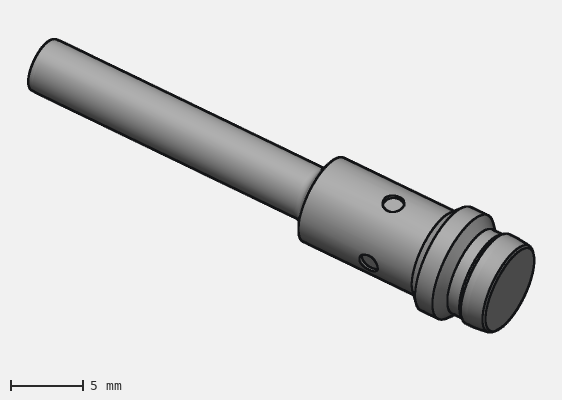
import cadquery as cq
import math

length = 38.4

shaft_dia = 4.0
barrel_dia = 6.5
flange_dia = 8.0
rear_land_dia = 6.9
hole_dia = 1.5
hole_floor_dia = 5.85

cap_dia = 3.95
tip_round = 0.2
cap_end = 0.4
cap_cone_end = 0.5

barrel_start = 23.08
shoulder_angle = math.radians(60)
blend_radius = 0.8

flange_start = 33.15
flange_end = 34.55

land_cone_start = 36.3
land_start = 36.55
land_end = 37.15
tail_dia = 6.65
end_chamfer = 0.15

hole_x = 28.85

shaft_radius = shaft_dia / 2
cap_radius = cap_dia / 2
barrel_radius = barrel_dia / 2
flange_radius = flange_dia / 2
land_radius = rear_land_dia / 2
tail_radius = tail_dia / 2
flange_cone = flange_radius - barrel_radius


def blend_point(angle):
    """Point on the shoulder blend arc, where the surface slopes at this angle."""
    x = blend_start + blend_radius * math.sin(angle)
    r = shaft_radius + blend_radius * (1 - math.cos(angle))
    return (x, r)


blend_height = blend_radius * (1 - math.cos(shoulder_angle))
cone_length = (barrel_radius - shaft_radius - blend_height) / math.tan(shoulder_angle)
blend_start = barrel_start - cone_length - blend_radius * math.sin(shoulder_angle)


def turned_body():
    """Half profile in the XY plane, revolved about the X axis."""
    tip_middle = tip_round * (1 - math.sqrt(0.5))
    profile = (
        cq.Workplane("XY")
        .moveTo(0, 0)
        .lineTo(0, cap_radius - tip_round)
        .threePointArc((tip_middle, cap_radius - tip_middle), (tip_round, cap_radius))
        .lineTo(cap_end, cap_radius)
        .lineTo(cap_cone_end, shaft_radius)
        .lineTo(blend_start, shaft_radius)
        .threePointArc(blend_point(shoulder_angle / 2), blend_point(shoulder_angle))
        .lineTo(barrel_start, barrel_radius)
        .lineTo(flange_start - flange_cone, barrel_radius)
        .lineTo(flange_start, flange_radius)
        .lineTo(flange_end, flange_radius)
        .lineTo(flange_end + flange_cone, barrel_radius)
        .lineTo(land_cone_start, barrel_radius)
        .lineTo(land_start, land_radius)
        .lineTo(land_end, land_radius)
        .tangentArcPoint((length - end_chamfer, tail_radius), relative=False)
        .lineTo(length, tail_radius - end_chamfer)
        .lineTo(length, 0)
        .close()
    )
    return profile.revolve(360, (0, 0, 0), (1, 0, 0))


def cross_hole(angle):
    """Cutter for a shallow flat-bottomed hole, turned about the X axis."""
    cutter = (
        cq.Workplane("XY", origin=(hole_x, 0, hole_floor_dia / 2))
        .circle(hole_dia / 2)
        .extrude(barrel_radius)
    )
    return cutter.rotate((0, 0, 0), (1, 0, 0), angle)


result = turned_body()
for angle in (0, 90, 180, 270):
    result = result.cut(cross_hole(angle))